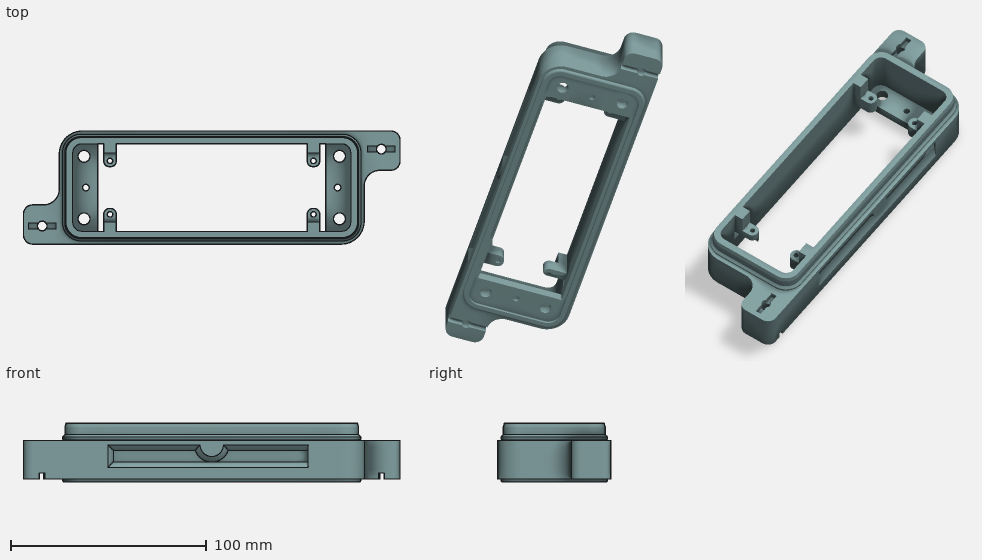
import cadquery as cq
import math

LENGTH = 192.5
WIDTH = 58.0
HEIGHT = 30.2

BODY_LENGTH = 156.0
BODY_BOTTOM = 1.5
BODY_TOP = 21.4
BODY_CORNER = 12.0
EAR_WIDTH = 20.2
EAR_CORNER = 4.8
EAR_FILLET = 7.9

COLLAR_INSET = 2.9
COLLAR_CORNER = 8.3
COLLAR_CHAMFER_HEIGHT = 2.1
COLLAR_CHAMFER_WIDTH = 0.5
BEAD_TOP = 24.3
BEAD_OVERHANG = 1.2
BEAD_SLOPE_HEIGHT = 1.2
BEAD_FILLET = 1.2
LIP_FILLET = 1.2
LIP_INNER_STEP = 2.0

OPENING_LENGTH = 142.0
OPENING_WIDTH = 44.7
OPENING_CORNER = 4.6
SHELF_EDGE_X = 58.1
SHELF_TOP = 6.7
SHELF_HOLE_X = 65.3
SHELF_HOLE_Y = 16.0
SHELF_HOLE_DIAMETER = 6.0
SHELF_PIN_X = 64.3
SHELF_PIN_DIAMETER = 3.3

POST_X = 52.0
POST_WIDTH = 6.5
POST_BOTTOM = 12.5
POST_STEP_Y = 17.7
POST_TIP_Y = 10.5
POST_TIP_CORNER = 3.0
POST_SEAT = 20.5
POST_HOLE_Y = 13.7
POST_HOLE_DIAMETER = 2.7

EAR_HOLE_X = 86.6
EAR_HOLE_Y = 19.6
EAR_HOLE_DIAMETER = 4.8
EAR_SLOT_LENGTH = 14.0
EAR_SLOT_WIDTH = 3.0
EAR_SLOT_DEPTH = 3.0
EAR_GROOVE_WIDTH = 2.9
EAR_GROOVE_DEPTH = 3.0

POCKET_LEFT = -53.1
POCKET_RIGHT = 49.0
POCKET_BOTTOM = 7.5
POCKET_TOP = 19.0
POCKET_DEPTH = 2.9
POCKET_TAPER = 2.9
SLOT_START = 42.0
SLOT_BEND_RADIUS = 9.5
TONGUE_RADIUS = 6.0


def block(x_min, x_max, y_min, y_max, z_min, z_max):
    size = (x_max - x_min, y_max - y_min, z_max - z_min)
    return cq.Workplane("XY").box(*size, centered=False).translate((x_min, y_min, z_min))


def rounded_block(length, width, corner, z_min, z_max):
    plate = cq.Workplane("XY").workplane(offset=z_min).rect(length, width)
    return plate.extrude(z_max - z_min).edges("|Z").fillet(corner)


def round_cutter(x, y, diameter):
    """Full-height round cutter."""
    return cq.Workplane("XY").center(x, y).circle(diameter / 2).extrude(HEIGHT)


def turned(shape):
    """Copy turned half a revolution about the Z axis."""
    return shape.rotate((0, 0, 0), (0, 0, 1), 180)


def make_body():
    half_width = WIDTH / 2
    half_body = BODY_LENGTH / 2
    ear_edge = half_width - EAR_WIDTH
    half_length = LENGTH / 2
    outline = [
        (-half_length, -half_width), (half_body, -half_width),
        (half_body, ear_edge), (half_length, ear_edge),
        (half_length, half_width), (-half_body, half_width),
        (-half_body, -ear_edge), (-half_length, -ear_edge),
    ]
    body = cq.Workplane("XY").workplane(offset=BODY_BOTTOM).polyline(outline).close()
    body = body.extrude(BODY_TOP - BODY_BOTTOM)

    def round_corners(solid, points, radius):
        for x, y in points:
            nearest = cq.selectors.NearestToPointSelector((x, y, (BODY_BOTTOM + BODY_TOP) / 2))
            solid = solid.edges("|Z").edges(nearest).fillet(radius)
        return solid

    body_corners = [outline[1], outline[5]]
    ear_roots = [outline[2], outline[6]]
    ear_tips = [outline[0], outline[3], outline[4], outline[7]]
    body = round_corners(body, body_corners, BODY_CORNER)
    body = round_corners(body, ear_roots, EAR_FILLET)
    return round_corners(body, ear_tips, EAR_CORNER)


def make_collar():
    length = BODY_LENGTH - 2 * COLLAR_INSET
    width = WIDTH - 2 * COLLAR_INSET
    bead_size = (length + 2 * BEAD_OVERHANG, width + 2 * BEAD_OVERHANG, COLLAR_CORNER + BEAD_OVERHANG)
    collar = rounded_block(length, width, COLLAR_CORNER, BODY_BOTTOM, HEIGHT)
    collar = collar.faces(">Z").chamfer(COLLAR_CHAMFER_HEIGHT, COLLAR_CHAMFER_WIDTH)
    bead = rounded_block(*bead_size, BODY_TOP, BEAD_TOP)
    bead = bead.faces(">Z").chamfer(BEAD_SLOPE_HEIGHT, BEAD_OVERHANG)
    bead = bead.faces("<Z").edges().fillet(BEAD_FILLET)
    lip = rounded_block(*bead_size, 0, BODY_TOP).faces("<Z").edges().fillet(LIP_FILLET)
    return collar.union(bead).union(lip)


def make_opening():
    opening = rounded_block(OPENING_LENGTH, OPENING_WIDTH, OPENING_CORNER, 0, HEIGHT)
    half_length = OPENING_LENGTH / 2
    half_width = OPENING_WIDTH / 2
    shelf = block(SHELF_EDGE_X, half_length, -half_width, half_width, BODY_BOTTOM, SHELF_TOP)
    for y in (-SHELF_HOLE_Y, SHELF_HOLE_Y):
        shelf = shelf.cut(round_cutter(SHELF_HOLE_X, y, SHELF_HOLE_DIAMETER))
    shelf = shelf.cut(round_cutter(SHELF_PIN_X, 0, SHELF_PIN_DIAMETER))
    recess = rounded_block(
        OPENING_LENGTH + 2 * LIP_INNER_STEP, OPENING_WIDTH + 2 * LIP_INNER_STEP,
        OPENING_CORNER + LIP_INNER_STEP, 0, BODY_BOTTOM,
    )
    return opening.cut(shelf).cut(turned(shelf)).union(recess)


def make_screw_post(x):
    left = x - POST_WIDTH / 2
    right = x + POST_WIDTH / 2
    wall_y = OPENING_WIDTH / 2
    backing = block(left, right, POST_STEP_Y, wall_y, POST_BOTTOM, HEIGHT)
    seat = block(left, right, POST_TIP_Y, wall_y, POST_BOTTOM, POST_SEAT)
    seat = seat.edges("|Z and <Y").fillet(POST_TIP_CORNER)
    return backing.union(seat).cut(round_cutter(x, POST_HOLE_Y, POST_HOLE_DIAMETER))


def make_ear_cuts():
    hole = round_cutter(EAR_HOLE_X, EAR_HOLE_Y, EAR_HOLE_DIAMETER)
    slot = block(
        EAR_HOLE_X - EAR_SLOT_LENGTH / 2, EAR_HOLE_X + EAR_SLOT_LENGTH / 2,
        EAR_HOLE_Y - EAR_SLOT_WIDTH / 2, EAR_HOLE_Y + EAR_SLOT_WIDTH / 2,
        BODY_TOP - EAR_SLOT_DEPTH, BODY_TOP,
    )
    groove = block(
        EAR_HOLE_X - EAR_GROOVE_WIDTH / 2, EAR_HOLE_X + EAR_GROOVE_WIDTH / 2,
        WIDTH / 2 - EAR_WIDTH, WIDTH / 2,
        BODY_BOTTOM, BODY_BOTTOM + EAR_GROOVE_DEPTH,
    )
    return hole.union(slot).union(groove)


def make_pocket():
    face_y = -WIDTH / 2
    floor_y = face_y + POCKET_DEPTH
    wall_y = -OPENING_WIDTH / 2
    section = [
        (face_y, POCKET_BOTTOM), (floor_y, POCKET_BOTTOM + POCKET_TAPER),
        (floor_y, POCKET_TOP - POCKET_TAPER), (face_y, POCKET_TOP),
    ]
    trough = cq.Workplane("YZ").workplane(offset=POCKET_LEFT).polyline(section).close()
    trough = trough.extrude(POCKET_RIGHT + POCKET_TAPER - POCKET_LEFT)
    left_wall = cq.Workplane("XY").polyline([
        (POCKET_LEFT, face_y), (POCKET_LEFT + POCKET_TAPER, floor_y), (POCKET_LEFT, floor_y),
    ]).close().extrude(HEIGHT)
    right_wall = cq.Workplane("XY").polyline([
        (POCKET_RIGHT, face_y), (POCKET_RIGHT + POCKET_TAPER, face_y),
        (POCKET_RIGHT + POCKET_TAPER, floor_y),
    ]).close().extrude(HEIGHT)
    bend_end = (SLOT_START + SLOT_BEND_RADIUS, floor_y + SLOT_BEND_RADIUS)
    half_bend = math.radians(45)
    bend_middle = (
        SLOT_START + SLOT_BEND_RADIUS * math.sin(half_bend),
        floor_y + SLOT_BEND_RADIUS * (1 - math.cos(half_bend)),
    )
    undercut_x = POCKET_RIGHT + POCKET_TAPER
    slot_exit_x = undercut_x + (wall_y - floor_y)
    slot = cq.Workplane("XY").workplane(offset=POCKET_BOTTOM + POCKET_TAPER)
    slot = slot.moveTo(SLOT_START, floor_y).threePointArc(bend_middle, bend_end)
    slot = slot.lineTo(bend_end[0], -POST_TIP_Y).lineTo(slot_exit_x, -POST_TIP_Y)
    slot = slot.lineTo(slot_exit_x, wall_y).lineTo(undercut_x, floor_y).close()
    slot = slot.extrude(POCKET_TOP - POCKET_BOTTOM - 2 * POCKET_TAPER)
    tongue = cq.Workplane("XZ", origin=(0, face_y, POCKET_TOP)).circle(TONGUE_RADIUS)
    tongue = tongue.workplane(offset=-POCKET_DEPTH).circle(TONGUE_RADIUS + POCKET_TAPER).loft()
    return trough.cut(left_wall).cut(right_wall).cut(tongue).union(slot)


result = make_body().union(make_collar()).cut(make_opening())
for post_x in (-POST_X, POST_X):
    screw_post = make_screw_post(post_x)
    result = result.union(screw_post).union(turned(screw_post))

ear_cuts = make_ear_cuts()
pocket = make_pocket()
for cutter in (ear_cuts, pocket):
    result = result.cut(cutter).cut(turned(cutter))